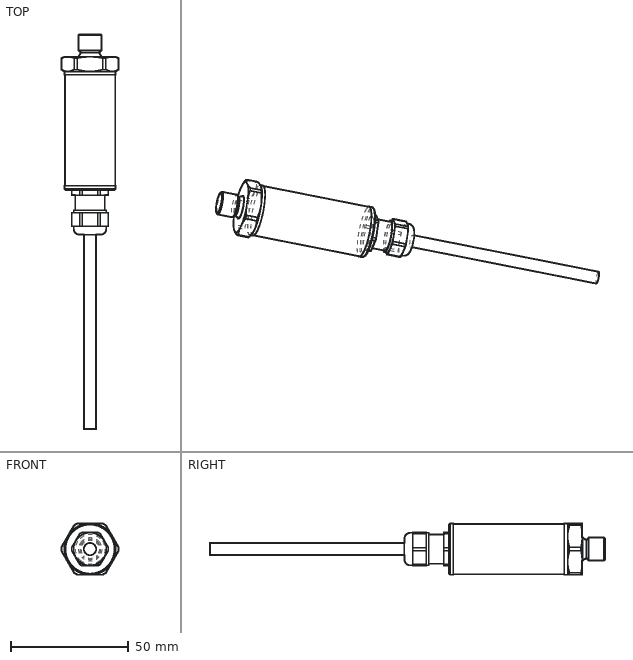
import cadquery as cq
import math

total_length = 168.6
port_end = 7.8
groove_end = 8.1
collar_end = 9.8
hex_end = 16.0
body_end = 66.6
seat_end = 68.8
neck_end = 75.2
nut_hex_start = 76.2
nut_hex_end = 82.1
nut_end = 85.7

port_diameter = 10.0
groove_diameter = 7.8
collar_diameter = 10.0
cap_diameter = 22.0
body_diameter = 21.6
neck_diameter = 12.6
nut_diameter = 14.0
cable_diameter = 5.2

front_cap_length = 1.3
back_cap_length = 1.9

main_hex_flats = cap_diameter
main_hex_corners = 24.5
small_hex_flats = 14.2
small_hex_corners = 15.7

port_chamfer = 0.5
groove_flank = 0.8
collar_taper_length = 1.5
collar_taper_depth = 1.0
hex_front_chamfer_length = 0.5
hex_front_chamfer_depth = 1.2
hex_back_chamfer_length = 0.8
hex_back_chamfer_depth = 1.3
cap_chamfer = 0.5
nut_fillet = 2.5

tip_y = total_length / 2


def station(distance):
    """Workplane across the axis at a distance from the port tip, facing the cable end."""
    return cq.Workplane(cq.Plane(origin=(0, tip_y - distance, 0), xDir=(1, 0, 0), normal=(0, -1, 0)))


def cylinder(start, end, diameter):
    """Round stretch between two stations."""
    return station(start).circle(diameter / 2).extrude(end - start)


def hexagon(start, end, flats, corner_cutter):
    """Hexagonal stretch with flats facing +Z and -Z, its corners trimmed by a turned shape."""
    sharp_corners = flats / math.cos(math.pi / 6)
    prism = station(start).polygon(6, sharp_corners).extrude(end - start)
    return prism.intersect(corner_cutter)


port = cylinder(0, port_end, port_diameter).faces(">Y").chamfer(port_chamfer)
port = port.faces("<Y").chamfer(groove_flank)
groove = cylinder(port_end, groove_end, groove_diameter)
collar = cylinder(groove_end, collar_end, collar_diameter)
collar = collar.faces(">Y").chamfer(collar_taper_length, collar_taper_depth)

corner_cutter = cylinder(collar_end, hex_end, main_hex_corners)
corner_cutter = corner_cutter.faces(">Y").chamfer(hex_front_chamfer_length, hex_front_chamfer_depth)
corner_cutter = corner_cutter.faces("<Y").chamfer(hex_back_chamfer_length, hex_back_chamfer_depth)
main_hex = hexagon(collar_end, hex_end, main_hex_flats, corner_cutter)

back_cap_start = body_end - back_cap_length
front_cap_end = hex_end + front_cap_length
front_cap = cylinder(hex_end, front_cap_end, cap_diameter)
body = cylinder(front_cap_end, back_cap_start, body_diameter)
back_cap = cylinder(back_cap_start, body_end, cap_diameter)
back_cap = back_cap.faces("<Y").chamfer(cap_chamfer)

seat_cutter = cylinder(body_end, seat_end, small_hex_corners)
seat = hexagon(body_end, seat_end, small_hex_flats, seat_cutter)
neck = cylinder(seat_end, neck_end, neck_diameter)
nut = cylinder(neck_end, nut_end, nut_diameter).faces("<Y").edges().fillet(nut_fillet)
nut_cutter = cylinder(nut_hex_start, nut_hex_end, small_hex_corners)
nut_hex = hexagon(nut_hex_start, nut_hex_end, small_hex_flats, nut_cutter)

cable = cylinder(nut_end, total_length, cable_diameter)

result = port
for section in (groove, collar, main_hex, front_cap, body, back_cap, seat, neck, nut, nut_hex, cable):
    result = result.union(section)